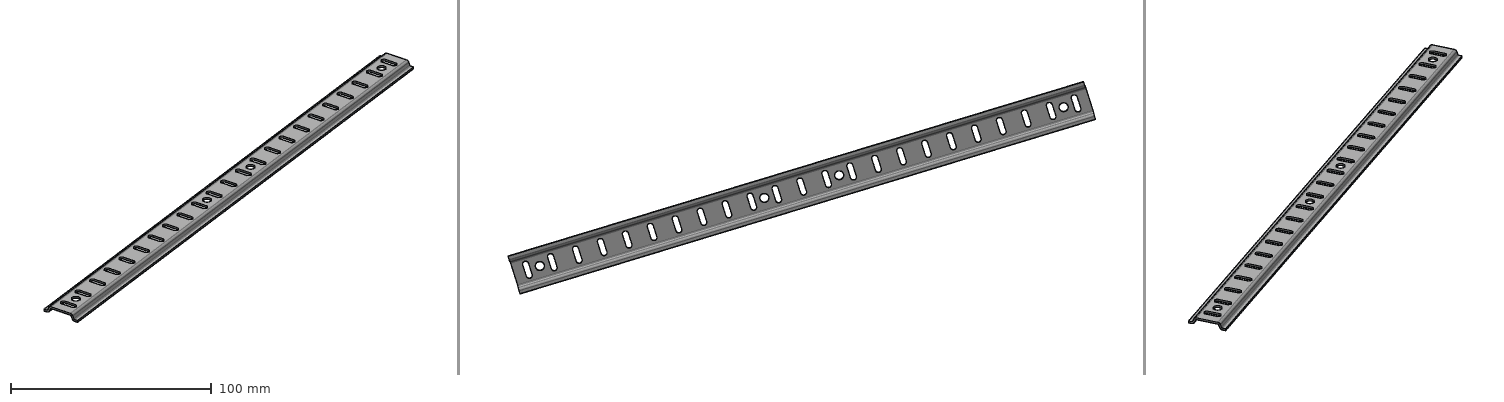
import cadquery as cq
import math

length = 300.0
width = 20.0
height = 4.0
thickness = 1.15

crown_width = 11.7
bend_angle = math.radians(67)
inner_bend_radius = 0.4
outer_bend_radius = inner_bend_radius + thickness

hole_diameter = 4.5
inner_hole_spacing = 39.0
pitches_between_inner_holes = 3
pitches_between_end_holes = 21
slot_pitch = inner_hole_spacing / pitches_between_inner_holes
end_hole_spacing = pitches_between_end_holes * slot_pitch

slot_count = 23
slot_length = 9.0
slot_width = 3.0


def rail_half():
    """Right half of the hat section: crown, sloping wall between two bends, flange."""
    half_width = width / 2
    half_crown = crown_width / 2
    underside = height - thickness

    outer_bend_run = outer_bend_radius * math.sin(bend_angle)
    inner_bend_run = inner_bend_radius * math.sin(bend_angle)
    outer_bend_drop = outer_bend_radius * (1 - math.cos(bend_angle))
    inner_bend_drop = inner_bend_radius * (1 - math.cos(bend_angle))

    wall_drop = underside - outer_bend_drop - inner_bend_drop
    wall_run = wall_drop / math.tan(bend_angle)
    flange_start = half_crown + outer_bend_run + wall_run + inner_bend_run

    outer_wall_top = (half_crown + outer_bend_run, height - outer_bend_drop)
    outer_wall_foot = (flange_start - inner_bend_run, thickness + inner_bend_drop)
    inner_wall_top = (half_crown + inner_bend_run, underside - inner_bend_drop)
    inner_wall_foot = (flange_start - outer_bend_run, outer_bend_drop)

    return (
        cq.Workplane("XZ")
        .moveTo(0, height)
        .lineTo(half_crown, height)
        .radiusArc(outer_wall_top, outer_bend_radius)
        .lineTo(*outer_wall_foot)
        .radiusArc((flange_start, thickness), -inner_bend_radius)
        .lineTo(half_width, thickness)
        .lineTo(half_width, 0)
        .lineTo(flange_start, 0)
        .radiusArc(inner_wall_foot, outer_bend_radius)
        .lineTo(*inner_wall_top)
        .radiusArc((half_crown, underside), -inner_bend_radius)
        .lineTo(0, underside)
        .close()
        .extrude(length / 2, both=True)
    )


def slot_cutters():
    """Round-ended slots through the crown, long side across the rail."""
    return (
        cq.Workplane("XY")
        .rarray(3, slot_pitch, 1, slot_count)
        .slot2D(slot_length, slot_width)
        .extrude(height)
    )


def hole_cutters():
    """Fixing holes on the centreline, each midway between two neighbouring slots."""
    centres = []
    for spacing in (inner_hole_spacing, end_hole_spacing):
        for side in (-1, 1):
            centres.append((0, side * spacing / 2))
    return cq.Workplane("XY").pushPoints(centres).circle(hole_diameter / 2).extrude(height)


half = rail_half()
rail = half.union(half.mirror("YZ")).clean()
result = rail.cut(slot_cutters()).cut(hole_cutters())